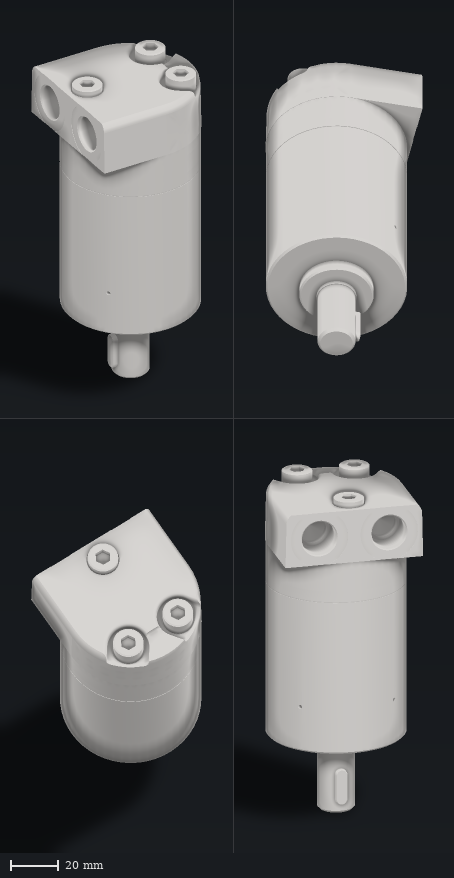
import cadquery as cq
import math

body_radius = 29.97
body_bottom = 34.5
body_edge_chamfer = 0.9
plate_bottom = 107.8
end_ring_bottom = 116.2
cover_bottom = 121.0
cover_top = 144.5

groove_centre = 102.8
groove_width = 0.5
groove_depth = 0.22

mark_diameter = 1.8
mark_depth = 1.5
mark_height = 54.5
mark_positions = (-21.2, 19.6)

spigot_radius = 15.8
spigot_bottom = 29.6
spigot_chamfer = 0.7

cover_radius = 30.11
cover_front = 30.85
wall_lean = 0.5
rim_height = 3.9
rim_width = 1.99

port_spacing = 30.5
port_height = 133.0
port_spotface_diameter = 25.0
port_spotface_depth = 0.1
port_mouth_diameter = 16.0
port_diameter = 15.0
port_depth = 12.0
port_drill_diameter = 12.0
port_drill_depth = 14.7
drill_tip_angle = 118.0

screw_circle_radius = 21.4
rear_screw_angles = (54.0, 126.0)
front_screw_angle = -90.0
screw_top = 147.2
head_diameter = 13.0
head_face_diameter = 11.6
head_bevel_height = 0.5
head_height = 8.0
head_seat_diameter = 14.0
socket_flats = 6.0
socket_depth = 3.0

pocket_floor = 139.9
pocket_wall_radius = 9.0
pocket_floor_fillet = 1.99
pocket_rim_fillet = 1.84

tongue_top = 142.7
tongue_front = 17.0
tongue_step_fillet = 1.5

shaft_radius = 8.03
shaft_chamfer = 1.2
collar_radius = 8.47
collar_height = 1.6
key_width = 5.0
key_length = 16.0
key_bottom = 4.3
key_outer_face = 10.0
key_thickness = 5.0
key_chamfer = 0.37

overlap = 7.4


def cylinder(radius, bottom, top):
    return cq.Workplane("XY").workplane(offset=bottom).circle(radius).extrude(top - bottom)


def polar_point(angle):
    turn = math.radians(angle)
    return screw_circle_radius * math.cos(turn), screw_circle_radius * math.sin(turn)


def tip_length(diameter):
    """Length of the conical end left by a drill."""
    return diameter / 2 / math.tan(math.radians(drill_tip_angle / 2))


def make_barrel():
    """Stacked round sections; their joint lines are kept as separate faces."""
    barrel = cylinder(body_radius, body_bottom, plate_bottom)
    barrel = barrel.faces("<Z").edges().chamfer(body_edge_chamfer)
    groove_bottom = groove_centre - groove_width / 2
    groove_top = groove_centre + groove_width / 2
    groove = cylinder(body_radius + overlap, groove_bottom, groove_top)
    groove = groove.cut(cylinder(body_radius - groove_depth, groove_bottom, groove_top))
    barrel = barrel.cut(groove)
    for mark_x in mark_positions:
        mark_y = -math.sqrt(body_radius**2 - mark_x**2)
        inward = cq.Vector(-mark_x, -mark_y, 0).normalized()
        start = cq.Vector(mark_x, mark_y, mark_height) - inward * mark_depth
        mark = cq.Solid.makeCylinder(mark_diameter / 2, 2 * mark_depth, start, inward)
        barrel = barrel.cut(cq.Workplane(mark))
    spigot = cylinder(spigot_radius, spigot_bottom, body_bottom)
    spigot = spigot.faces("<Z").edges().chamfer(spigot_chamfer)
    barrel = barrel.union(spigot)
    barrel = barrel.union(cylinder(body_radius, plate_bottom, end_ring_bottom), clean=False)
    return barrel.union(cylinder(body_radius, end_ring_bottom, cover_bottom), clean=False)


def cover_outline():
    """Half section of the cover, with its leaning wall and rounded rim."""
    wall_top_x = cover_radius - wall_lean
    return (
        cq.Workplane("XZ")
        .moveTo(0, cover_bottom)
        .lineTo(cover_radius, cover_bottom)
        .lineTo(wall_top_x, cover_top - rim_height)
        .tangentArcPoint((wall_top_x - rim_width, cover_top), relative=False)
        .lineTo(0, cover_top)
        .close()
    )


def make_cover_block():
    """Round at the back, straight-sided toward the front."""
    round_back = cover_outline().revolve(360, (0, 0, 0), (0, 1, 0))
    right_half = cover_outline().extrude(cover_front)
    left_half = right_half.mirror("YZ")
    return round_back.union(right_half).union(left_half)


def pocket_outline():
    """Half section of a pocket: flat floor, rounded foot, wall and rolled-over rim."""
    diagonal = 1 - math.sqrt(0.5)
    foot_top = pocket_floor + pocket_floor_fillet
    rim_start = cover_top - pocket_rim_fillet
    rim_radius = pocket_wall_radius + pocket_rim_fillet
    foot_middle = (
        pocket_wall_radius - pocket_floor_fillet * diagonal,
        pocket_floor + pocket_floor_fillet * diagonal,
    )
    rim_middle = (
        pocket_wall_radius + pocket_rim_fillet * diagonal,
        cover_top - pocket_rim_fillet * diagonal,
    )
    return (
        cq.Workplane("XZ")
        .moveTo(0, pocket_floor)
        .lineTo(pocket_wall_radius - pocket_floor_fillet, pocket_floor)
        .threePointArc(foot_middle, (pocket_wall_radius, foot_top))
        .lineTo(pocket_wall_radius, rim_start)
        .threePointArc(rim_middle, (rim_radius, cover_top))
        .lineTo(rim_radius, cover_top + overlap)
        .lineTo(0, cover_top + overlap)
        .close()
    )


def make_pocket(angle):
    """Round pocket about a screw, running straight out through the rim."""
    pocket = pocket_outline().revolve(360, (0, 0, 0), (0, 1, 0))
    half_slot = pocket_outline().extrude(-2 * screw_circle_radius)
    pocket = pocket.union(half_slot).union(half_slot.mirror("YZ"))
    screw_x, screw_y = polar_point(angle)
    return pocket.rotate((0, 0, 0), (0, 0, 1), angle - 90).translate((screw_x, screw_y, 0))


def make_tongue_cut():
    """Block that lowers the cover between the pockets, with a rounded step at its front."""
    width = 2 * polar_point(rear_screw_angles[0])[0]
    length = body_radius + overlap - tongue_front
    block = cq.Workplane("XY").box(width, length, overlap, centered=(True, False, False))
    block = block.translate((0, tongue_front, tongue_top))
    return block.edges("|X and <Y and <Z").fillet(tongue_step_fillet)


def make_port(port_x):
    """Spotfaced, chamfered and stepped blind hole along Y."""
    mouth_bevel = (port_mouth_diameter - port_diameter) / 2
    port = (
        cq.Workplane("XY")
        .polyline(
            [
                (0, 0),
                (port_spotface_diameter / 2, 0),
                (port_spotface_diameter / 2, port_spotface_depth),
                (port_mouth_diameter / 2, port_spotface_depth),
                (port_diameter / 2, port_spotface_depth + mouth_bevel),
                (port_diameter / 2, port_depth),
                (port_drill_diameter / 2, port_depth),
                (port_drill_diameter / 2, port_drill_depth),
                (0, port_drill_depth + tip_length(port_drill_diameter)),
            ]
        )
        .close()
        .revolve(360, (0, 0, 0), (0, 1, 0))
    )
    return port.translate((port_x, -cover_front, port_height))


def make_screw_seat(angle):
    screw_x, screw_y = polar_point(angle)
    seat = cylinder(head_seat_diameter / 2, screw_top - head_height, screw_top)
    return seat.translate((screw_x, screw_y, 0))


def make_screw_head(angle):
    """Socket head with a bevelled top edge and a drilled hexagon socket."""
    seat_floor = screw_top - head_height
    head = (
        cq.Workplane("XZ")
        .polyline(
            [
                (0, seat_floor),
                (head_diameter / 2, seat_floor),
                (head_diameter / 2, screw_top - head_bevel_height),
                (head_face_diameter / 2, screw_top),
                (0, screw_top),
            ]
        )
        .close()
        .revolve(360, (0, 0, 0), (0, 1, 0))
    )
    socket_corners = socket_flats / math.cos(math.pi / 6)
    socket_floor = screw_top - socket_depth
    socket_tip = socket_floor - tip_length(socket_corners)
    tip = cq.Solid.makeCone(0, socket_corners / 2, tip_length(socket_corners), cq.Vector(0, 0, socket_tip))
    drill = cylinder(socket_corners / 2, socket_floor, screw_top).union(cq.Workplane(tip))
    hexagon = cq.Workplane("XY").workplane(offset=socket_tip).polygon(6, socket_corners)
    socket = hexagon.extrude(screw_top - socket_tip).intersect(drill)
    screw_x, screw_y = polar_point(angle)
    return head.cut(socket).translate((screw_x, screw_y, 0))


def make_cover():
    cover = make_cover_block().cut(make_tongue_cut())
    for angle in rear_screw_angles:
        cover = cover.cut(make_pocket(angle))
    for side in (-1, 1):
        cover = cover.cut(make_port(side * port_spacing / 2))
    for angle in (*rear_screw_angles, front_screw_angle):
        cover = cover.cut(make_screw_seat(angle))
        cover = cover.union(make_screw_head(angle))
    return cover


def make_key():
    """Round-ended key standing out of the front of the shaft."""
    key = (
        cq.Workplane("XZ")
        .center(0, key_bottom + key_length / 2)
        .slot2D(key_length, key_width, 90)
        .extrude(key_thickness)
        .translate((0, key_thickness - key_outer_face, 0))
    )
    return key.faces("<Y").edges().chamfer(key_chamfer)


def make_shaft(key):
    """Shaft with a collar under the spigot and a keyway that fits the key."""
    shaft = cylinder(shaft_radius, 0, spigot_bottom).faces("<Z").edges().chamfer(shaft_chamfer)
    shaft = shaft.union(cylinder(collar_radius, spigot_bottom - collar_height, spigot_bottom))
    return shaft.cut(key)


housing = make_barrel().union(make_cover(), clean=False)
key = make_key()
shaft = make_shaft(key)

result = cq.Compound.makeCompound([housing.val(), shaft.val(), key.val()])